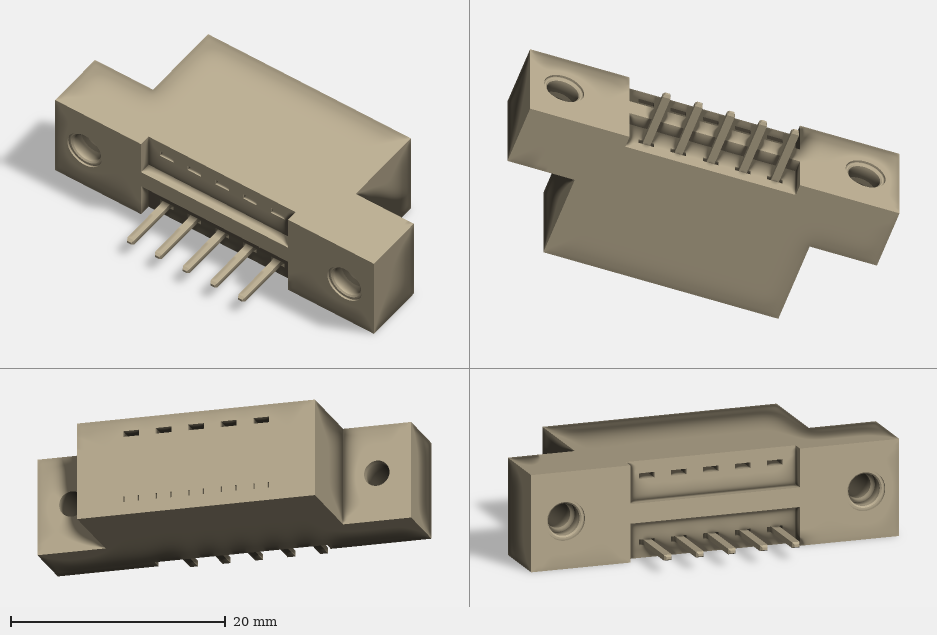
import cadquery as cq

LENGTH = 36.45
HEIGHT = 9.4
BAR_DEPTH = 6.38
BLOCK_WIDTH = 23.2
HOUSING_DEPTH = 15.2

RECESS_WIDTH = 16.8
RECESS_DEPTH = 1.2
RIB_HEIGHT = 1.9
RECESS_HEIGHT = (HEIGHT - RIB_HEIGHT) / 2

CONTACT_COUNT = 5
CONTACT_PITCH = 3.17
ROW_OFFSET = 3.2
SLOT_WIDTH = 1.53
SLOT_HEIGHT = 0.55

PIN_WIDTH = 0.75
PIN_THICKNESS = SLOT_HEIGHT
PIN_REACH = 4.8
BLADE_WIDTH = 1.28
SHOULDER_SETBACK = 0.1
SHOULDER_LENGTH = 0.5
TIP_LENGTH = 0.3
TIP_INSET = 0.15

BUSHING_OFFSET = 14.87
BUSHING_RADIUS = 1.97
BUSHING_SETBACK = 0.22
ENTRY_RADIUS = 1.55
ENTRY_CHAMFER = 0.15
ENTRY_DEPTH = 1.5
BORE_RADIUS = 1.25

CONTACT_XS = [(i - (CONTACT_COUNT - 1) / 2) * CONTACT_PITCH for i in range(CONTACT_COUNT)]
BUSHING_XS = [-BUSHING_OFFSET, BUSHING_OFFSET]


def front_box(width, depth, height):
    """A box centred in X and Z that runs back from the front face at Y = 0."""
    return cq.Workplane("XY").box(width, depth, height, centered=(True, False, True))


def make_housing():
    housing = front_box(LENGTH, BAR_DEPTH, HEIGHT).union(front_box(BLOCK_WIDTH, HOUSING_DEPTH, HEIGHT))

    recess = front_box(RECESS_WIDTH, RECESS_DEPTH, RECESS_HEIGHT)
    recess_z = (RIB_HEIGHT + RECESS_HEIGHT) / 2
    slot = front_box(SLOT_WIDTH, HOUSING_DEPTH, SLOT_HEIGHT)
    for side in (-1, 1):
        housing = housing.cut(recess.translate((0, 0, side * recess_z)))
        for x in CONTACT_XS:
            housing = housing.cut(slot.translate((x, 0, side * ROW_OFFSET)))

    bushing_hole = cq.Workplane("XZ").circle(BUSHING_RADIUS).extrude(-BAR_DEPTH)
    for x in BUSHING_XS:
        housing = housing.cut(bushing_hole.translate((x, 0, 0)))
    return housing


def make_contact(x):
    """One contact in the lower row, from its tapered tip to the rear face of the housing."""
    half_pin = PIN_WIDTH / 2
    half_blade = BLADE_WIDTH / 2
    shoulder_y = RECESS_DEPTH + SHOULDER_SETBACK
    blade_y = shoulder_y + SHOULDER_LENGTH
    tip_base_y = TIP_LENGTH - PIN_REACH

    contact = (
        cq.Workplane("XY")
        .polyline([
            (-half_pin, tip_base_y),
            (half_pin, tip_base_y),
            (half_pin, shoulder_y),
            (half_blade, blade_y),
            (half_blade, HOUSING_DEPTH),
            (-half_blade, HOUSING_DEPTH),
            (-half_blade, blade_y),
            (-half_pin, shoulder_y),
        ])
        .close()
        .extrude(PIN_THICKNESS / 2, both=True)
    )
    tip = (
        cq.Workplane("XZ", origin=(0, tip_base_y, 0))
        .rect(PIN_WIDTH, PIN_THICKNESS)
        .workplane(offset=TIP_LENGTH)
        .rect(PIN_WIDTH - 2 * TIP_INSET, PIN_THICKNESS - 2 * TIP_INSET)
        .loft(ruled=True)
    )
    return contact.union(tip).translate((x, 0, -ROW_OFFSET))


def make_bushing(x):
    """A sleeve with a chamfered entry that narrows through a 45 degree cone to its bore."""
    cone_y = BUSHING_SETBACK + ENTRY_DEPTH
    profile = [
        (BUSHING_RADIUS, BUSHING_SETBACK),
        (ENTRY_RADIUS + ENTRY_CHAMFER, BUSHING_SETBACK),
        (ENTRY_RADIUS, BUSHING_SETBACK + ENTRY_CHAMFER),
        (ENTRY_RADIUS, cone_y),
        (BORE_RADIUS, cone_y + ENTRY_RADIUS - BORE_RADIUS),
        (BORE_RADIUS, BAR_DEPTH),
        (BUSHING_RADIUS, BAR_DEPTH),
    ]
    sleeve = cq.Workplane("XY").polyline(profile).close().revolve(360, (0, 0, 0), (0, 1, 0))
    return sleeve.translate((x, 0, 0))


housing = make_housing()
contacts = [make_contact(x) for x in CONTACT_XS]
bushings = [make_bushing(x) for x in BUSHING_XS]

result = cq.Compound.makeCompound([
    housing.val(),
    *[contact.val() for contact in contacts],
    *[bushing.val() for bushing in bushings],
])